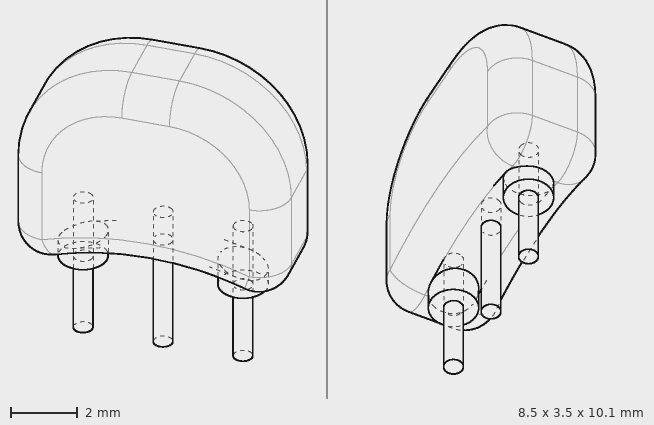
import cadquery as cq
import math

body_width = 8.5
body_depth = 3.5
total_height = 10.1
shoulder_radius = 3.5
edge_radius = 1.0
arch_height = 3.71
arch_radius = 9.15

pin_diameter = 0.6
pin_pitch = 2.5
pin_positions = (-pin_pitch, 0, pin_pitch)
pin_length = arch_height + edge_radius

standoff_diameter = 1.5
standoff_bottom = 2.6
standoff_top = pin_length

half_width = body_width / 2
shoulder_start = total_height - shoulder_radius
shoulder_center_x = half_width - shoulder_radius
shoulder_mid_x = shoulder_center_x + shoulder_radius * math.sqrt(0.5)
shoulder_mid_z = shoulder_start + shoulder_radius * math.sqrt(0.5)

arch_center_z = arch_height - arch_radius
foot_height = arch_center_z + math.sqrt(arch_radius**2 - half_width**2)


def upright_cylinder(x, bottom, top, diameter):
    return (
        cq.Workplane("XY", origin=(x, 0, bottom))
        .circle(diameter / 2)
        .extrude(top - bottom)
    )


def make_pin(x):
    return upright_cylinder(x, 0, pin_length, pin_diameter)


def make_housing_shell():
    """Kidney-shaped block with rounded edges."""
    block = (
        cq.Workplane("XZ")
        .moveTo(-half_width, foot_height)
        .lineTo(-half_width, shoulder_start)
        .threePointArc((-shoulder_mid_x, shoulder_mid_z), (-shoulder_center_x, total_height))
        .lineTo(shoulder_center_x, total_height)
        .threePointArc((shoulder_mid_x, shoulder_mid_z), (half_width, shoulder_start))
        .lineTo(half_width, foot_height)
        .threePointArc((0, arch_height), (-half_width, foot_height))
        .close()
        .extrude(body_depth / 2, both=True)
    )
    block = block.edges("|Y").edges("<Z").fillet(edge_radius)
    return block.faces("<Y or >Y").edges().fillet(edge_radius)


def make_housing():
    """Body with two standoffs and a blind hole for each pin."""
    housing = make_housing_shell()
    for x in (-pin_pitch, pin_pitch):
        housing = housing.union(upright_cylinder(x, standoff_bottom, standoff_top, standoff_diameter))
    for x in pin_positions:
        housing = housing.cut(make_pin(x))
    return housing


housing = make_housing()
pins = [make_pin(x) for x in pin_positions]

result = cq.Compound.makeCompound([housing.val(), *[pin.val() for pin in pins]])